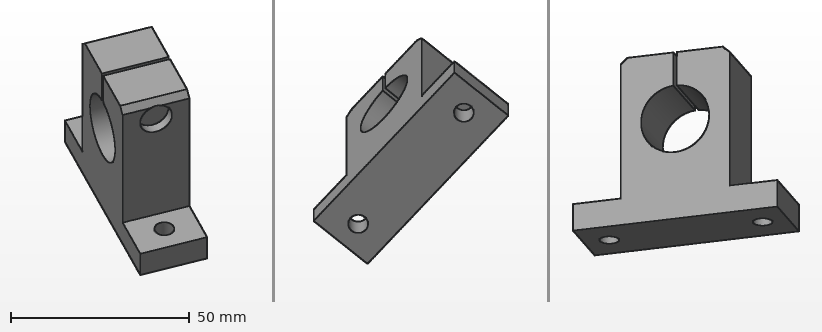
import cadquery as cq

base_length = 60.0
depth = 20.0
height = 50.0
base_thickness = 8.0

block_width = 32.0
bevel_width = 2.0
bevel_height = 1.8

bore_diameter = 20.0
bore_height = 30.0
slit_width = 1.0

mount_hole_diameter = 5.5
mount_hole_spacing = 45.0

recess_diameter = 9.5
recess_depth = 3.0
recess_overlap = 0.2
recess_height = height - bevel_height + recess_overlap - recess_diameter / 2


def make_body():
    """Flanged base and upright block, extruded along the shaft direction."""
    half_base = base_length / 2
    half_block = block_width / 2
    half_top = half_block - bevel_width
    bevel_start = height - bevel_height
    return (
        cq.Workplane("XZ")
        .moveTo(-half_base, 0)
        .lineTo(half_base, 0)
        .lineTo(half_base, base_thickness)
        .lineTo(half_block, base_thickness)
        .lineTo(half_block, bevel_start)
        .lineTo(half_top, height)
        .lineTo(-half_top, height)
        .lineTo(-half_block, bevel_start)
        .lineTo(-half_block, base_thickness)
        .lineTo(-half_base, base_thickness)
        .close()
        .extrude(depth / 2, both=True)
    )


def make_bore_and_slit():
    """Shaft bore joined to the slit that opens through the top."""
    bore = (
        cq.Workplane("XZ")
        .center(0, bore_height)
        .circle(bore_diameter / 2)
        .extrude(depth / 2, both=True)
    )
    slit = cq.Workplane("XY", origin=(0, 0, bore_height)).box(
        slit_width, depth, height - bore_height, centered=(True, True, False)
    )
    return bore.union(slit)


def make_mount_holes():
    """Vertical through holes, one in each flange."""
    half_spacing = mount_hole_spacing / 2
    return (
        cq.Workplane("XY")
        .pushPoints([(-half_spacing, 0), (half_spacing, 0)])
        .circle(mount_hole_diameter / 2)
        .extrude(base_thickness)
    )


def make_screw_recess():
    """Blind round recess in the +X face of the block."""
    return (
        cq.Workplane("YZ", origin=(block_width / 2, 0, recess_height))
        .circle(recess_diameter / 2)
        .extrude(-recess_depth)
    )


result = (
    make_body()
    .cut(make_bore_and_slit())
    .cut(make_mount_holes())
    .cut(make_screw_recess())
)